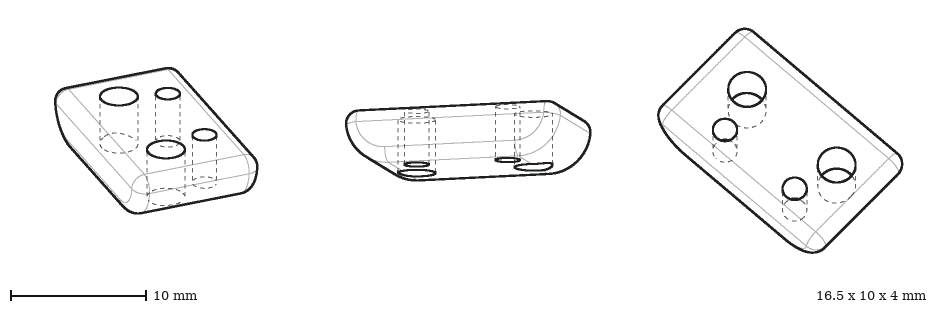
import cadquery as cq
import math

length = 16.48
width = 10.0
height = 4.0

end_radius = 3.25
edge_fillet = 1.0

hole_center_x = -0.25
small_diameter = 1.8
small_spacing = 7.0
small_y = 2.5
large_diameter = 2.8
large_spacing = 9.0
large_y = -1.0

half_length = length / 2
arc_center_z = end_radius
fillet_center_z = height - edge_fillet
fillet_offset_x = math.sqrt((end_radius - edge_fillet) ** 2 - (fillet_center_z - arc_center_z) ** 2)
arc_center_x = half_length - edge_fillet - fillet_offset_x

top_half = arc_center_x + math.sqrt(end_radius**2 - (height - arc_center_z) ** 2)
arc_mid_x = arc_center_x + end_radius * math.cos(math.pi / 4)
arc_mid_z = arc_center_z - end_radius * math.sin(math.pi / 4)


def make_body():
    """Extrude the rounded-bottom profile along Y and fillet its sharp edges."""
    body = (
        cq.Workplane("XZ")
        .moveTo(-arc_center_x, 0)
        .lineTo(arc_center_x, 0)
        .threePointArc((arc_mid_x, arc_mid_z), (top_half, height))
        .lineTo(-top_half, height)
        .threePointArc((-arc_mid_x, arc_mid_z), (-arc_center_x, 0))
        .close()
        .extrude(width / 2, both=True)
    )
    return body.faces("<Y or >Y or >Z").edges().fillet(edge_fillet)


def make_hole_pair(diameter, spacing, y):
    """Two vertical cylinders that pass through the full height."""
    centers = [(hole_center_x + side * spacing / 2, y) for side in (-1, 1)]
    return cq.Workplane("XY").pushPoints(centers).circle(diameter / 2).extrude(height)


small_holes = make_hole_pair(small_diameter, small_spacing, small_y)
large_holes = make_hole_pair(large_diameter, large_spacing, large_y)

result = make_body().cut(small_holes).cut(large_holes)